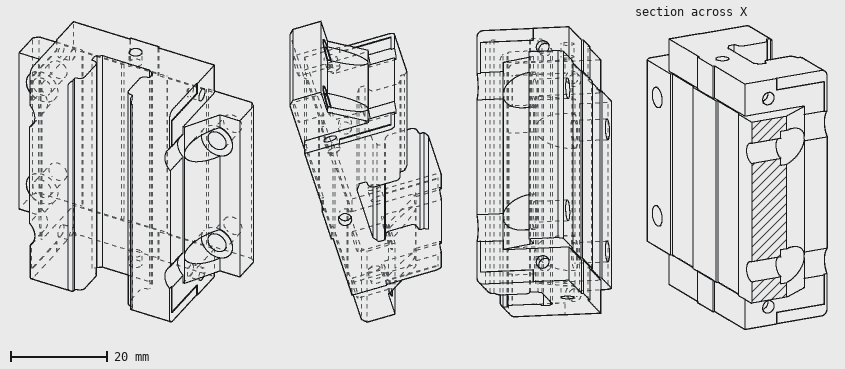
import cadquery as cq
import math

LENGTH = 53.9
WIDTH = 52.0
HEIGHT = 20.1

BODY_HALF = 16.6
CAP_TOP = 19.5
PAD_HALF = 3.35
PAD_TOP = 19.9

BLOCK_LENGTH = 39.8
FLANGE_HALF = WIDTH / 2
FLANGE_UNDERSIDE = 13.05
FLANGE_CHAMFER = 0.95
SLOPE_TOP_X = 21.35
SLOPE_FOOT_X = 16.9
SLOPE_FOOT_Y = 5.65
RELIEF_DEPTH = 0.3
RELIEF_OUTER_X = 14.9
RELIEF_INNER_X = 5.05

MOUTH_HALF = 7.55
MOUTH_CHAMFER = 0.8
CHANNEL_HALF = 6.8
RACE_HALF = 5.2
RACE_MIDDLE_Y = 5.5
RACE_FLAT = 4.75
RACE_ROUND = 1.2
ROOT_BULGE_X = 0.25
ROOT_BULGE_Y = 0.1
ROOT_RISE = 0.3
CHANNEL_TOP = 11.55
CHANNEL_TOP_HALF = 5.55
CEILING_BEVEL_RUN = 0.85
CEILING_BEVEL_DROP = 0.65
CEILING_ROUND_DROP = 0.5
CEILING_BULGE_X = 0.25
CEILING_BULGE_DROP = 0.15

MOUNT_X = 20.6
MOUNT_Z = 13.0
MOUNT_DIAMETER = 4.3
SPOTFACE_DIAMETER = 7.4
SPOTFACE_DEPTH = 0.1

SCALLOP_RADIUS = 3.9
SCALLOP_DEPTH = 1.3
SCALLOP_Z = 15.1

SEAL_INSET = 0.15
SEAL_TOP = 11.95
SEAL_THICKNESS = 2.55
SEAL_STRIP = 0.75
END_FILLET = 1.35

LUBE_DIAMETER = 2.7
LUBE_DEPTH = 2.7
LUBE_TIP = 0.8
SIDE_LUBE_Y = 13.95
SIDE_LUBE_FROM_END = 4.1
END_LUBE_Y = 15.85


def mirrored_prism(half_outline, length):
    """Extrude an outline, given on the +X side from axis to axis, along Z about the middle."""
    other_half = [(-x, y) for x, y in reversed(half_outline)]
    outline = cq.Workplane("XY").polyline(half_outline + other_half).close()
    return outline.extrude(length / 2, both=True)


def central_body():
    half_outline = [
        (BODY_HALF, 0),
        (BODY_HALF, CAP_TOP),
        (PAD_HALF, CAP_TOP),
        (PAD_HALF, PAD_TOP),
    ]
    body = mirrored_prism(half_outline, LENGTH)
    return body.faces("<Y").edges("<Z or >Z").fillet(END_FILLET)


def flanged_block():
    relief_y = HEIGHT - RELIEF_DEPTH
    half_outline = [
        (BODY_HALF, 0),
        (BODY_HALF, SLOPE_FOOT_Y),
        (SLOPE_FOOT_X, SLOPE_FOOT_Y),
        (SLOPE_TOP_X, FLANGE_UNDERSIDE),
        (FLANGE_HALF, FLANGE_UNDERSIDE),
        (FLANGE_HALF, HEIGHT - FLANGE_CHAMFER),
        (FLANGE_HALF - FLANGE_CHAMFER, HEIGHT),
        (RELIEF_OUTER_X, HEIGHT),
        (RELIEF_OUTER_X - RELIEF_DEPTH, relief_y),
        (RELIEF_INNER_X + RELIEF_DEPTH, relief_y),
        (RELIEF_INNER_X, HEIGHT),
    ]
    return mirrored_prism(half_outline, BLOCK_LENGTH)


def race_side(side):
    """Race profile above (+1) or below (-1) the race middle, from the land to the channel wall.

    Points: end of the flat land, middle and end of the land's round edge, then middle and end
    of the hollow that meets the channel wall.
    """
    flat_end = RACE_FLAT / 2
    shoulder_x = RACE_HALF + RACE_ROUND
    shoulder = flat_end + RACE_ROUND
    diagonal = RACE_ROUND * math.sqrt(0.5)
    profile = [
        (RACE_HALF, flat_end),
        (shoulder_x - diagonal, flat_end + diagonal),
        (shoulder_x, shoulder),
        (shoulder_x + ROOT_BULGE_X, shoulder + ROOT_BULGE_Y),
        (CHANNEL_HALF, shoulder + ROOT_RISE),
    ]
    return [(x, RACE_MIDDLE_Y + side * offset) for x, offset in profile]


def rail_channel():
    """Channel along the full length, narrowed on both sides by the rounded ball race lands."""
    lower_land, lower_round, lower_shoulder, lower_hollow, lower_wall = race_side(-1)
    upper_land, upper_round, upper_shoulder, upper_hollow, upper_wall = race_side(1)
    bevel_x = CHANNEL_TOP_HALF + CEILING_BEVEL_RUN
    bevel_y = CHANNEL_TOP - CEILING_BEVEL_DROP
    half = (
        cq.Workplane("XY")
        .lineTo(MOUTH_HALF, 0)
        .lineTo(CHANNEL_HALF, MOUTH_CHAMFER)
        .lineTo(*lower_wall)
        .threePointArc(lower_hollow, lower_shoulder)
        .threePointArc(lower_round, lower_land)
        .lineTo(*upper_land)
        .threePointArc(upper_round, upper_shoulder)
        .threePointArc(upper_hollow, upper_wall)
        .lineTo(CHANNEL_HALF, bevel_y - CEILING_ROUND_DROP)
        .threePointArc((bevel_x + CEILING_BULGE_X, bevel_y - CEILING_BULGE_DROP), (bevel_x, bevel_y))
        .lineTo(CHANNEL_TOP_HALF, CHANNEL_TOP)
        .lineTo(0, CHANNEL_TOP)
        .close()
        .extrude(LENGTH / 2, both=True)
    )
    return half.union(half.mirror("YZ"))


def cylinder_along_y(diameter, x, y_start, y_end, z):
    start = cq.Vector(x, y_start, z)
    return cq.Workplane(cq.Solid.makeCylinder(diameter / 2, y_end - y_start, start, cq.Vector(0, 1, 0)))


def mounting_holes():
    cutters = cq.Workplane("XY")
    seat_y = FLANGE_UNDERSIDE + SPOTFACE_DEPTH
    for x in (-MOUNT_X, MOUNT_X):
        for z in (-MOUNT_Z, MOUNT_Z):
            cutters = cutters.union(cylinder_along_y(MOUNT_DIAMETER, x, 0, HEIGHT, z))
            cutters = cutters.union(cylinder_along_y(SPOTFACE_DIAMETER, x, 0, seat_y, z))
    return cutters


def side_scallops():
    cutters = cq.Workplane("XY")
    axis_x = BODY_HALF - SCALLOP_DEPTH + SCALLOP_RADIUS
    for x in (-axis_x, axis_x):
        for z in (-SCALLOP_Z, SCALLOP_Z):
            cutters = cutters.union(cylinder_along_y(2 * SCALLOP_RADIUS, x, 0, SLOPE_FOOT_Y, z))
    return cutters


def seal_insets():
    """Shallow cuts in the body sides: a tall strip at each end and a low strip back to the scallop."""
    cutters = cq.Workplane("XY")
    low_length = LENGTH / 2 - SCALLOP_Z
    for x_sign in (-1, 1):
        for z_sign in (-1, 1):
            for height, length in ((SEAL_TOP, SEAL_THICKNESS), (SEAL_STRIP, low_length)):
                centre = (x_sign * BODY_HALF, height / 2, z_sign * (LENGTH - length) / 2)
                strip = cq.Workplane("XY").box(2 * SEAL_INSET, height, length).translate(centre)
                cutters = cutters.union(strip)
    return cutters


def lube_hole(mouth, direction):
    """Blind drilled hole with a conical tip."""
    mouth = cq.Vector(*mouth)
    direction = cq.Vector(*direction)
    radius = LUBE_DIAMETER / 2
    bore = cq.Solid.makeCylinder(radius, LUBE_DEPTH, mouth, direction)
    tip = cq.Solid.makeCone(radius, 0, LUBE_TIP, mouth + direction * LUBE_DEPTH, direction)
    return cq.Workplane(bore).union(cq.Workplane(tip))


def lube_holes():
    cutters = cq.Workplane("XY")
    side_z = LENGTH / 2 - SIDE_LUBE_FROM_END
    for z_sign in (-1, 1):
        cutters = cutters.union(lube_hole((0, END_LUBE_Y, z_sign * LENGTH / 2), (0, 0, -z_sign)))
        for x_sign in (-1, 1):
            mouth = (x_sign * BODY_HALF, SIDE_LUBE_Y, z_sign * side_z)
            cutters = cutters.union(lube_hole(mouth, (-x_sign, 0, 0)))
    return cutters


result = (
    central_body()
    .union(flanged_block())
    .cut(rail_channel())
    .cut(mounting_holes())
    .cut(side_scallops())
    .cut(seal_insets())
    .cut(lube_holes())
)